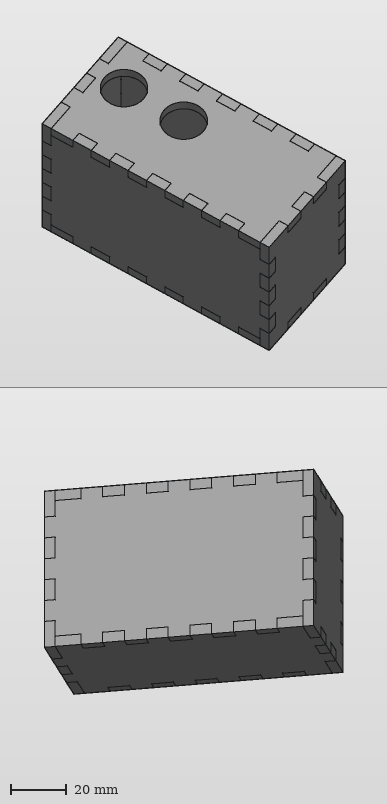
import cadquery as cq

LENGTH = 99.0
DEPTH = 48.0
HEIGHT = 60.0
THICKNESS = 4.0

TAB_WIDTH = 8.0
TAB_PITCH = 2 * TAB_WIDTH
LONG_EDGE_TABS = 5
UPRIGHT_EDGE_TABS = 3
SHORT_EDGE_TABS = 2

HOLE_DIAMETER = 17.0
HOLE_PITCH = 26.0
FIRST_HOLE_FROM_LEFT = 14.9
HOLES_FROM_BACK = 18.0

INNER_LENGTH = LENGTH - 2 * THICKNESS
INNER_HEIGHT = HEIGHT - 2 * THICKNESS

END_OFFSET = (LENGTH - THICKNESS) / 2
WALL_OFFSET = (DEPTH - THICKNESS) / 2
COVER_OFFSET = (HEIGHT - THICKNESS) / 2


def tab_positions(count):
    """Centres of a row of tabs, symmetric about the middle of the edge."""
    return [(i - (count - 1) / 2) * TAB_PITCH for i in range(count)]


def block(size, center):
    return cq.Workplane("XY").box(*size).translate(center)


def long_edge_tabs(y_side, z_side):
    """Wall tabs along X that fill notches in a top or bottom panel."""
    size = (TAB_WIDTH, THICKNESS, THICKNESS)
    return [
        block(size, (x, y_side * WALL_OFFSET, z_side * COVER_OFFSET))
        for x in tab_positions(LONG_EDGE_TABS)
    ]


def upright_edge_tabs(x_side, y_side):
    """Wall tabs along Z that fill notches in an end panel."""
    size = (THICKNESS, THICKNESS, TAB_WIDTH)
    return [
        block(size, (x_side * END_OFFSET, y_side * WALL_OFFSET, z))
        for z in tab_positions(UPRIGHT_EDGE_TABS)
    ]


def short_edge_tabs(x_side, z_side):
    """Cover tabs along Y that fill notches in an end panel."""
    size = (THICKNESS, TAB_WIDTH, THICKNESS)
    return [
        block(size, (x_side * END_OFFSET, y, z_side * COVER_OFFSET))
        for y in tab_positions(SHORT_EDGE_TABS)
    ]


def make_wall(y_side):
    """Front (-1) or back (+1) panel, with tabs on all four edges."""
    wall = block((INNER_LENGTH, THICKNESS, INNER_HEIGHT), (0, y_side * WALL_OFFSET, 0))
    for side in (-1, 1):
        for tab in long_edge_tabs(y_side, side) + upright_edge_tabs(side, y_side):
            wall = wall.union(tab)
    return wall


def make_cover(z_side):
    """Bottom (-1) or top (+1) panel: notched long edges, tabbed short edges."""
    cover = block((INNER_LENGTH, DEPTH, THICKNESS), (0, 0, z_side * COVER_OFFSET))
    for side in (-1, 1):
        for notch in long_edge_tabs(side, z_side):
            cover = cover.cut(notch)
        for tab in short_edge_tabs(side, z_side):
            cover = cover.union(tab)
    return cover


def make_end(x_side):
    """Left (-1) or right (+1) panel, notched on all edges; it owns the box corners."""
    end = block((THICKNESS, DEPTH, HEIGHT), (x_side * END_OFFSET, 0, 0))
    for side in (-1, 1):
        for notch in upright_edge_tabs(x_side, side) + short_edge_tabs(x_side, side):
            end = end.cut(notch)
    return end


def cut_round_holes(panel):
    """Cut the row of round openings through the top panel."""
    first_x = FIRST_HOLE_FROM_LEFT - LENGTH / 2
    hole_y = DEPTH / 2 - HOLES_FROM_BACK
    cutters = (
        cq.Workplane("XY", origin=(0, 0, HEIGHT / 2 - THICKNESS))
        .pushPoints([(first_x, hole_y), (first_x + HOLE_PITCH, hole_y)])
        .circle(HOLE_DIAMETER / 2)
        .extrude(THICKNESS)
    )
    return panel.cut(cutters)


bottom_panel = make_cover(-1)
top_panel = cut_round_holes(make_cover(1))
walls = [make_wall(side) for side in (-1, 1)]
ends = [make_end(side) for side in (-1, 1)]

panels = [bottom_panel, top_panel, *walls, *ends]
result = cq.Compound.makeCompound([panel.solids().val() for panel in panels])